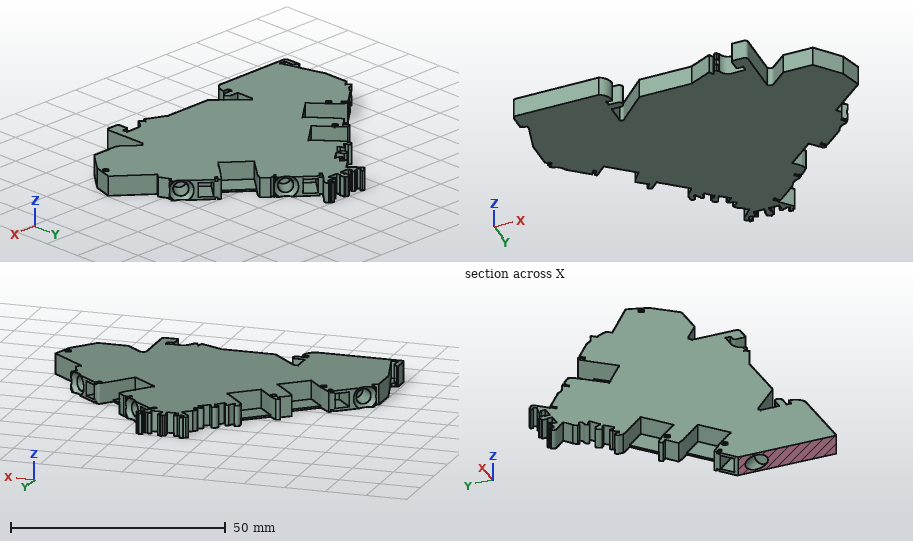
import cadquery as cq
import math

THICKNESS = 5.0
MID_HEIGHT = THICKNESS / 2
SLOPE = 40.0

POCKET_WIDTH = 8.5
POCKET_DEPTH = 6.0
POCKET_FLOOR = 0.5
LOW_POCKET = (15.9, 21.9)
HIGH_POCKET = (24.7, 32.5)
RIGHT_POCKET = (55.55, 32.5)

LOW_WALL_EXTENSION = 2.3
HIGH_WALL_EXTENSION = 2.2
RIGHT_WALL_EXTENSION = 2.45

LEFT_FACE = (8.7, 28.7)
RIGHT_FACE = (62.8, 39.7)
UPPER_FACE = (44.0, 55.5)
FACE_LENGTH = 11.35

FUNNEL_PLACE = 8.6
FUNNEL_RADIUS = 2.9
BORE_RADIUS = 1.8
BORE_DEPTH = 6.35

WINDOW_PLACE = 2.8
WINDOW_SIZE = 3.6
WINDOW_DEPTH = 6.35

GROOVE_LENGTH = 1.5
GROOVE_DEPTH = 0.4
UPPER_GROOVE_WIDTH = 0.6
LOWER_GROOVE_WIDTH = 0.5

RIB_OUTLINE = [(50.6, 2.0), (51.2, 1.9), (51.65, 2.5), (51.2, 2.6)]
RIB_WIDTH = 1.5

HOLE_CENTRES = [(11.7, 25.3), (20.4, 36.1), (77.2, 17.1)]
HOLE_RADIUS = 0.7
HOLE_STEP_DEPTH = 0.4
HOLE_TIP_RADIUS = 0.5
HOLE_DEPTH = 0.8

TONGUE_FLOOR = 0.8
SLOT_WALL_TOP = (0.0, 12.7)
SLOT_WALL_BOTTOM = (3.25, 1.0)
SLOT_MOUTH_HEIGHT = 5.55
SLOT_WALL_LEAN = (SLOT_WALL_BOTTOM[0] - SLOT_WALL_TOP[0]) / (SLOT_WALL_TOP[1] - SLOT_WALL_BOTTOM[1])
SLOT_MOUTH_X = SLOT_WALL_TOP[0] + SLOT_WALL_LEAN * (SLOT_WALL_TOP[1] - SLOT_MOUTH_HEIGHT)
SLOT_MOUTH = [(SLOT_MOUTH_X, SLOT_MOUTH_HEIGHT), (1.8, 4.9), (0.95, 4.85), (0.7, 4.6)]
TONGUE_SLOT = SLOT_MOUTH + [(1.7, 3.5), (1.7, 1.0), SLOT_WALL_BOTTOM]

CLIP_AXIS = 40.15
CLIP_TOP = 60.0


def step(start, angle, length):
    """Point reached from start by going a length at an angle in degrees."""
    turn = math.radians(angle)
    return (start[0] + length * math.cos(turn), start[1] + length * math.sin(turn))


def pocket_corners(lowest, side):
    """Corners of a pocket: lowest, lower mouth, upper mouth, upper inner corner.

    side is 1 for pockets on the left flank and -1 for the right flank.
    """
    floor_angle = SLOPE if side > 0 else 180 - SLOPE
    wall_angle = floor_angle + 90 * side
    upper = step(lowest, floor_angle, POCKET_WIDTH)
    return [
        lowest,
        step(lowest, wall_angle, POCKET_DEPTH),
        step(upper, wall_angle, POCKET_DEPTH),
        upper,
    ]


POCKETS = [
    pocket_corners(LOW_POCKET, 1),
    pocket_corners(HIGH_POCKET, 1),
    pocket_corners(RIGHT_POCKET, -1),
]
FACE_ANGLES = [(LEFT_FACE, 180 + SLOPE), (RIGHT_FACE, -SLOPE), (UPPER_FACE, -SLOPE)]
LEFT_FACE_END, RIGHT_FACE_END, UPPER_FACE_END = [
    step(start, angle, FACE_LENGTH) for start, angle in FACE_ANGLES
]

OUTLINE_START = (1.1, 0.0)
LEFT_FOOT = [
    (22.2, 0.0),
    ((23.65, 1.3), (24.2, 3.3)),
    (22.7, 3.3),
    (22.7, 4.5),
    (25.0, 4.5),
    ((25.95, 5.5), (25.0, 6.4)),
    (22.7, 6.4),
    (22.7, 11.1),
    ((23.2, 11.5), (23.7, 11.3)),
]
RAIL_EDGE = [
    (30.55, 4.5),
    (43.8, 4.5),
    (49.35, 2.0),
    (49.9, 3.2),
    (50.6, 2.0),
    (51.2, 2.0),
    (51.4, 2.5),
    (51.65, 2.5),
    ((52.2, 3.7), (53.7, 4.5)),
    (57.45, 4.5),
    (57.45, 3.25),
    (56.2, 3.2),
    ((55.9, 3.0), (55.8, 2.7)),
    (55.8, 0.2),
    (56.0, 0.0),
    (58.95, 0.0),
    ((59.5, 0.2), (59.75, 0.8)),
    (59.75, 11.9),
    ((60.5, 12.45), (61.4, 12.15)),
]
RIGHT_WING = [
    (65.15, 8.9),
    (72.7, 8.9),
    (77.8, 14.9),
    (79.35, 20.15),
    (70.55, 27.5),
    (71.5, 28.7),
    (70.3, 31.5),
    RIGHT_FACE_END,
    RIGHT_FACE,
    ((62.3, 40.0), (61.7, 39.75)),
]
RIGHT_FLANK = [
    POCKETS[2][1],
    POCKETS[2][2],
    step(POCKETS[2][2], 90 - SLOPE, RIGHT_WALL_EXTENSION),
    (55.1, 45.8),
    (53.3, 47.6),
    (52.3, 47.5),
    UPPER_FACE_END,
    UPPER_FACE,
]
CLIP_HALF = [
    (3.8, 55.55),
    (6.3, 58.3),
    ((6.35, 58.95), (5.95, 59.5)),
    (5.5, 59.6),
    (5.5, CLIP_TOP),
    (4.6, CLIP_TOP),
    (4.6, 59.35),
    ((5.2, 58.8), (4.6, 58.3)),
    (4.1, 58.55),
    (3.65, 58.55),
    ((3.25, 58.9), (2.8, 58.6)),
    (2.8, 58.1),
    (3.25, 58.1),
    (3.25, 56.9),
    (0.6, 56.9),
    (0.6, 58.1),
    (0.9, 58.1),
    (0.9, 59.5),
    (0.4, 59.6),
]
LEFT_CLIPS = [
    (34.9, 54.35),
    (34.3, 54.0),
    (33.5, 53.1),
    (33.5, 52.6),
    (34.2, 52.45),
    ((34.7, 51.9), (34.2, 51.4)),
    (33.25, 51.25),
    ((32.8, 50.7), (33.1, 50.15)),
    (33.5, 50.5),
    (34.3, 49.75),
    (32.05, 48.0),
    (31.6, 48.6),
    (31.1, 49.7),
    ((30.5, 49.8), (29.9, 49.4)),
    (29.7, 48.6),
    (30.4, 47.85),
    (30.7, 48.1),
    (31.1, 47.45),
    (29.35, 45.6),
    (28.7, 46.1),
    (28.7, 46.7),
    ((28.3, 47.1), (27.85, 46.65)),
    (27.0, 45.4),
    (26.6, 45.6),
    (26.6, 46.5),
    ((26.2, 46.9), (25.4, 46.1)),
    (25.4, 45.1),
    step(POCKETS[1][2], 90 + SLOPE, HIGH_WALL_EXTENSION),
]
LEFT_FLANK = [
    POCKETS[1][2],
    POCKETS[1][1],
    (19.0, 38.9),
    ((18.25, 38.8), (18.0, 38.25)),
    (19.0, 37.2),
    (16.3, 35.1),
    step(POCKETS[0][2], 90 + SLOPE, LOW_WALL_EXTENSION),
    POCKETS[0][2],
    POCKETS[0][1],
    (9.1, 29.2),
]
LEFT_SIDE = [
    LEFT_FACE,
    LEFT_FACE_END,
    (1.2, 20.55),
    (0.0, 19.7),
    SLOT_WALL_TOP,
    *SLOT_MOUTH,
    (0.3, 4.6),
    (0.3, 0.8),
    ((0.55, 0.2), OUTLINE_START),
]


def is_arc(item):
    """True for a pair of points, False for a single point."""
    return isinstance(item[0], tuple)


def place_clip_half(side):
    """Clip half on one side of the symmetry line, listed from neck to tip."""

    def place(point):
        return (CLIP_AXIS + side * point[0], point[1])

    return [tuple(place(p) for p in item) if is_arc(item) else place(item) for item in CLIP_HALF]


def reverse_path(path):
    """Same stretch of outline run backwards."""
    ends = [item[1] if is_arc(item) else item for item in path]
    backwards = [ends[-1]]
    for index in range(len(path) - 1, 0, -1):
        target = ends[index - 1]
        backwards.append((path[index][0], target) if is_arc(path[index]) else target)
    return backwards


def make_plate():
    clip = place_clip_half(1) + [(CLIP_AXIS, CLIP_TOP)] + reverse_path(place_clip_half(-1))
    path = (
        LEFT_FOOT + RAIL_EDGE + RIGHT_WING + RIGHT_FLANK + clip + LEFT_CLIPS + LEFT_FLANK + LEFT_SIDE
    )
    sketch = cq.Workplane("XY").moveTo(*OUTLINE_START)
    for item in path:
        sketch = sketch.threePointArc(*item) if is_arc(item) else sketch.lineTo(*item)
    return sketch.close().extrude(THICKNESS)


def recess(points, floor):
    """Volume above a floor height, open through the upper flat side."""
    return cq.Workplane("XY").workplane(offset=floor).polyline(points).close().extrude(THICKNESS - floor)


def face_frame(start, angle, place):
    """Plane in an entry face at mid thickness: x runs along the face, z points outwards."""
    x, y = step(start, angle, place)
    along = step((0, 0), angle, 1)
    outward_angle = angle + 90 if angle < 90 else angle - 90
    outward = step((0, 0), outward_angle, 1)
    return cq.Plane(origin=(x, y, MID_HEIGHT), xDir=(*along, 0), normal=(*outward, 0))


def funnel(start, angle):
    """Wire entry: a 45 degree cone leading into a blind bore."""
    cone_depth = FUNNEL_RADIUS - BORE_RADIUS
    profile = [
        (0, 0),
        (FUNNEL_RADIUS, 0),
        (BORE_RADIUS, -cone_depth),
        (BORE_RADIUS, -BORE_DEPTH),
        (0, -BORE_DEPTH),
    ]
    frame = face_frame(start, angle, FUNNEL_PLACE)
    half = cq.Plane(origin=frame.origin, xDir=frame.xDir, normal=frame.xDir.cross(frame.zDir))
    return cq.Workplane(half).polyline(profile).close().revolve(360, (0, 0), (0, 1))


def window(start, angle):
    frame = face_frame(start, angle, WINDOW_PLACE)
    return cq.Workplane(frame).rect(WINDOW_SIZE, WINDOW_SIZE).extrude(-WINDOW_DEPTH)


def grooves(start, angle, place, width):
    """Pair of shallow grooves, one in each flat side, running inwards from the face."""
    frame = face_frame(start, angle, place)
    centre_offset = (THICKNESS - GROOVE_DEPTH) / 2
    return (
        cq.Workplane(frame)
        .pushPoints([(0, centre_offset), (0, -centre_offset)])
        .rect(width, GROOVE_DEPTH)
        .extrude(-GROOVE_LENGTH)
    )


def notch_rib():
    base = MID_HEIGHT - RIB_WIDTH / 2
    return cq.Workplane("XY").workplane(offset=base).polyline(RIB_OUTLINE).close().extrude(RIB_WIDTH)


def marker_holes(radius, depth):
    top = cq.Workplane("XY").workplane(offset=THICKNESS)
    return top.pushPoints(HOLE_CENTRES).circle(radius).extrude(-depth)


result = make_plate().union(notch_rib())
for corners in POCKETS:
    result = result.cut(recess(corners, POCKET_FLOOR))
result = result.cut(recess(TONGUE_SLOT, TONGUE_FLOOR))

for face_start, face_angle in FACE_ANGLES:
    result = result.cut(funnel(face_start, face_angle))
    result = result.cut(window(face_start, face_angle))
    result = result.cut(grooves(face_start, face_angle, UPPER_GROOVE_WIDTH / 2, UPPER_GROOVE_WIDTH))
    lower_place = FACE_LENGTH - LOWER_GROOVE_WIDTH / 2
    result = result.cut(grooves(face_start, face_angle, lower_place, LOWER_GROOVE_WIDTH))

for radius, depth in [(HOLE_RADIUS, HOLE_STEP_DEPTH), (HOLE_TIP_RADIUS, HOLE_DEPTH)]:
    result = result.cut(marker_holes(radius, depth))